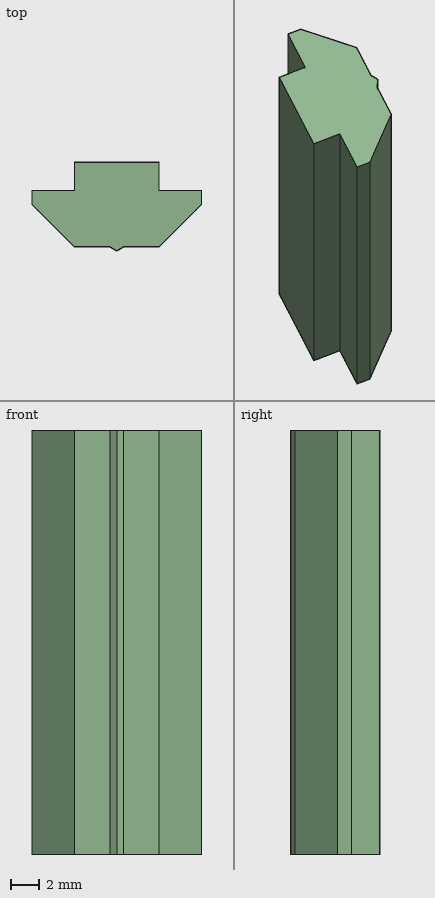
import cadquery as cq

length = 30.0
body_width = 12.0
body_depth = 6.0

tongue_width = 6.0
tongue_height = 2.0

bevel = 3.0

ridge_width = 1.0
ridge_height = 0.3

half_width = body_width / 2
half_tongue = tongue_width / 2
half_ridge = ridge_width / 2
shoulder_y = body_depth - tongue_height

half_profile = [
    (0, -ridge_height),
    (half_ridge, 0),
    (half_width - bevel, 0),
    (half_width, bevel),
    (half_width, shoulder_y),
    (half_tongue, shoulder_y),
    (half_tongue, body_depth),
    (0, body_depth),
]

result = cq.Workplane("XY").polyline(half_profile).mirrorY().extrude(length)